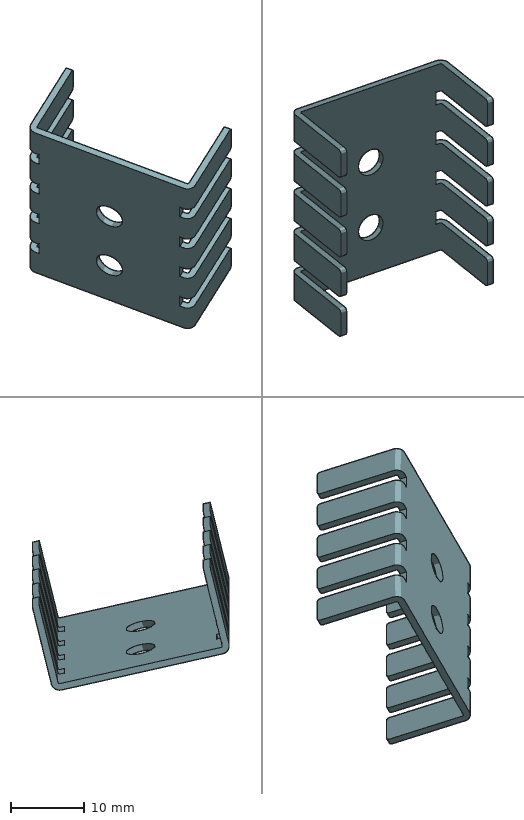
import cadquery as cq

HEIGHT = 30.0
WIDTH = 25.0
DEPTH = 12.5

SHEET_THICKNESS = 0.95
OUTER_BEND_RADIUS = 1.2
INNER_BEND_RADIUS = OUTER_BEND_RADIUS - SHEET_THICKNESS

FINGER_COUNT = 5
SLOT_HEIGHT = 2.0
SLOT_REACH = 1.8
FINGER_HEIGHT = (HEIGHT - (FINGER_COUNT - 1) * SLOT_HEIGHT) / FINGER_COUNT
FINGER_PITCH = FINGER_HEIGHT + SLOT_HEIGHT
FINGER_TIP_RADIUS = 0.5

HOLE_DIAMETER = 4.0
HOLE_HEIGHTS = (7.5, 18.0)


def make_channel():
    """U channel standing on Z = 0, back plate on Y = 0, open towards +Y."""
    outer = (
        cq.Workplane("XY")
        .box(WIDTH, DEPTH, HEIGHT, centered=(True, False, False))
        .edges("|Z and <Y")
        .fillet(OUTER_BEND_RADIUS)
    )
    cavity = (
        cq.Workplane("XY")
        .workplane(origin=(0, SHEET_THICKNESS, 0))
        .box(WIDTH - 2 * SHEET_THICKNESS, DEPTH, HEIGHT, centered=(True, False, False))
        .edges("|Z and <Y")
        .fillet(INNER_BEND_RADIUS)
    )
    return outer.cut(cavity)


def cut_finger_slots(body):
    """Cut the slots between neighbouring fingers on both side walls."""
    for side in (-1, 1):
        slot_center_x = side * (WIDTH - SLOT_REACH) / 2
        for index in range(FINGER_COUNT - 1):
            slot_bottom = FINGER_HEIGHT + index * FINGER_PITCH
            slot = (
                cq.Workplane("XY")
                .box(SLOT_REACH, DEPTH, SLOT_HEIGHT, centered=(True, False, False))
                .translate((slot_center_x, 0, slot_bottom))
            )
            body = body.cut(slot)
    return body


def round_finger_tips(body):
    """Round the top and bottom corners at the free end of every finger."""
    return body.faces(">Y").edges("|X").fillet(FINGER_TIP_RADIUS)


def drill_mounting_holes(body):
    """Drill the round holes straight through the back plate."""
    holes = (
        cq.Workplane("XZ")
        .pushPoints([(0, height) for height in HOLE_HEIGHTS])
        .circle(HOLE_DIAMETER / 2)
        .extrude(-SHEET_THICKNESS)
    )
    return body.cut(holes)


channel = make_channel()
fingered = cut_finger_slots(channel)
rounded = round_finger_tips(fingered)
result = drill_mounting_holes(rounded)